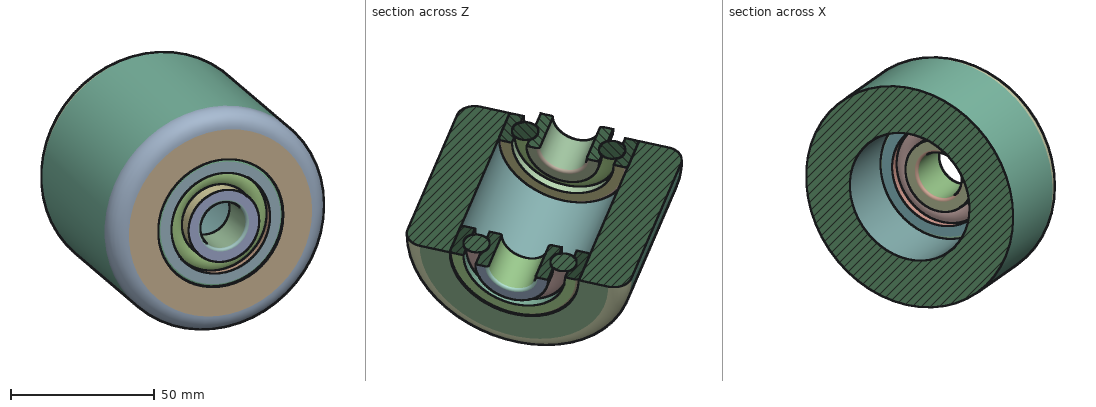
import cadquery as cq

wheel_radius = 41.0
wheel_width = 72.0
wheel_edge_radius = 6.6

bearing_radius = 23.5
bearing_width = 14.0
raceway_outer_radius = 18.5
raceway_inner_radius = 13.3
axle_hole_radius = 8.5
ring_edge_radius = 1.0
overall_length = 78.0

ball_row_radius = (raceway_outer_radius + raceway_inner_radius) / 2
ball_radius = 4.5

wheel_face_x = wheel_width / 2
hub_length = (overall_length - wheel_width) / 2
bearing_start_x = wheel_face_x - bearing_width
bearing_mid_x = wheel_face_x - bearing_width / 2


def tube(start_x, length, outer_radius, inner_radius):
    """Tube around the X axis, running in +X from start_x."""
    return (
        cq.Workplane("YZ", origin=(start_x, 0, 0))
        .circle(outer_radius)
        .circle(inner_radius)
        .extrude(length)
    )


def make_wheel():
    """Roller with rounded rims and a straight bore that holds both bearings."""
    roller = tube(-wheel_face_x, wheel_width, wheel_radius, bearing_radius)
    rim_edges = cq.selectors.RadiusNthSelector(-1)
    return roller.edges(rim_edges).fillet(wheel_edge_radius)


def make_ball_row():
    """Torus centred in the width of the +X bearing."""
    torus = cq.Solid.makeTorus(
        ball_row_radius, ball_radius, cq.Vector(bearing_mid_x, 0, 0), cq.Vector(1, 0, 0)
    )
    return cq.Workplane(torus)


def make_outer_ring():
    """Outer ring of the +X bearing, rounded at its outer edges."""
    ring = tube(bearing_start_x, bearing_width, bearing_radius, raceway_outer_radius)
    outer_edges = cq.selectors.RadiusNthSelector(-1)
    return ring.edges(outer_edges).fillet(ring_edge_radius).cut(make_ball_row())


def make_inner_ring():
    """Inner ring of the +X bearing, standing out as a hub, rounded at its bore edges."""
    ring = tube(bearing_start_x, bearing_width + hub_length, raceway_inner_radius, axle_hole_radius)
    bore_edges = cq.selectors.RadiusNthSelector(0)
    return ring.edges(bore_edges).fillet(ring_edge_radius).cut(make_ball_row())


bodies = [make_wheel().val()]
for make_bearing_part in (make_outer_ring, make_inner_ring, make_ball_row):
    right_part = make_bearing_part()
    left_part = right_part.mirror("YZ")
    bodies += [right_part.val(), left_part.val()]

result = cq.Compound.makeCompound(bodies)